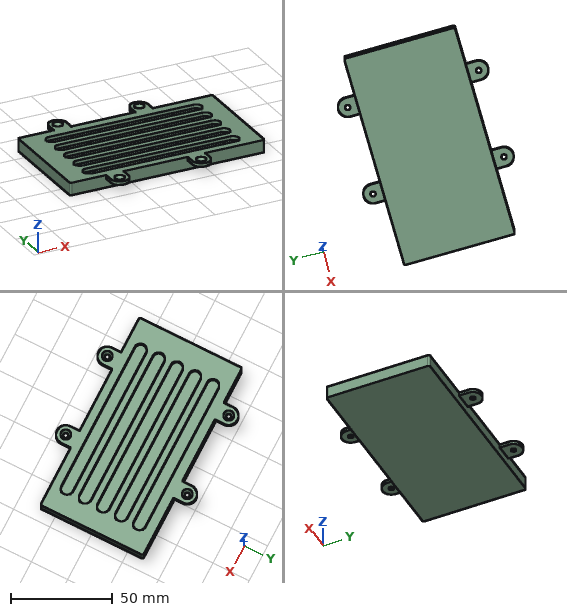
import cadquery as cq

length = 107.6
width = 56.8
height = 6.9
corner_radius = 1.0

span = 76.8
ear_radius = 4.8
ear_thickness = 1.9
ear_x_positions = (-29.0, 16.0)
ear_hole_y = span / 2 - ear_radius
hole_diameter = 2.5
countersink_diameter = 5.2

slot_count = 5
slot_pitch = 10.0
slot_length = 86.0
slot_width = 6.2
slot_depth = 2.0
slot_center_x = 0.5
slot_center_y = -0.4


def make_plate():
    plate = cq.Workplane("XY").box(length, width, height, centered=(True, True, False))
    return plate.edges("|Z").fillet(corner_radius)


def make_ear_pair(x):
    """Round-ended strip across the plate; its ends stand out as two ears."""
    return (
        cq.Workplane("XY", origin=(x, 0, height))
        .slot2D(span, 2 * ear_radius, angle=90)
        .extrude(-ear_thickness)
    )


def cut_ear_holes(body):
    """Conical screw holes, tapering through the whole ear thickness."""
    cone = cq.Solid.makeCone(hole_diameter / 2, countersink_diameter / 2, ear_thickness)
    for x in ear_x_positions:
        for y in (-ear_hole_y, ear_hole_y):
            body = body.cut(cq.Workplane(cone.translate(cq.Vector(x, y, height - ear_thickness))))
    return body


def cut_slots(body):
    return (
        body.faces(">Z")
        .workplane(origin=(slot_center_x, slot_center_y, height))
        .rarray(1.1, slot_pitch, 1, slot_count)
        .slot2D(slot_length, slot_width)
        .cutBlind(-slot_depth)
    )


body = make_plate()
for ear_x in ear_x_positions:
    body = body.union(make_ear_pair(ear_x))
body = cut_ear_holes(body)
result = cut_slots(body)